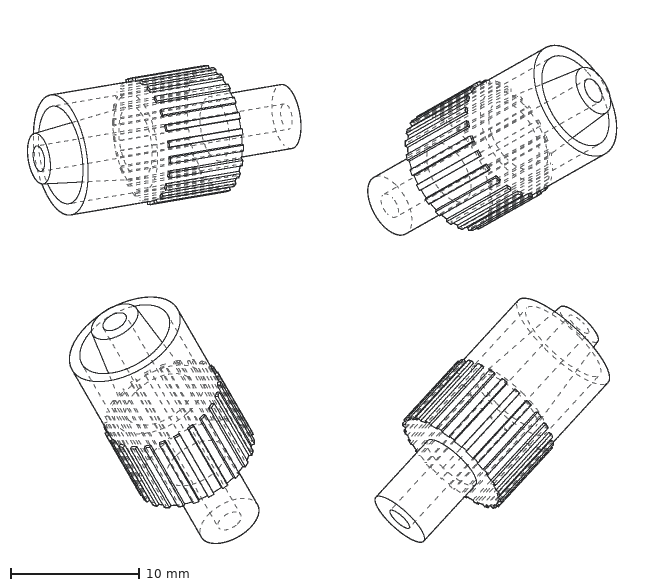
import cadquery as cq

total_length = 21.6
stem_length = 6.26
grip_length = 6.4
nose_protrusion = 1.9
nose_length = 8.42

stem_diameter = 5.07
body_diameter = 9.5
socket_diameter = 7.7
nose_tip_diameter = 4.0
nose_base_diameter = 5.79
passage_diameter = 2.0

rib_count = 24
rib_width = 0.5
rib_span = 10.0

nose_tip_y = -total_length / 2
body_front_y = nose_tip_y + nose_protrusion
socket_floor_y = nose_tip_y + nose_length
stem_end_y = total_length / 2
body_back_y = stem_end_y - stem_length
grip_front_y = body_back_y - grip_length


def make_turned_body():
    """Stem, socketed body and tapered nose with the through passage, revolved about Y."""
    profile = [
        (passage_diameter / 2, nose_tip_y),
        (nose_tip_diameter / 2, nose_tip_y),
        (nose_base_diameter / 2, socket_floor_y),
        (socket_diameter / 2, socket_floor_y),
        (socket_diameter / 2, body_front_y),
        (body_diameter / 2, body_front_y),
        (body_diameter / 2, body_back_y),
        (stem_diameter / 2, body_back_y),
        (stem_diameter / 2, stem_end_y),
        (passage_diameter / 2, stem_end_y),
    ]
    return cq.Workplane("XY").polyline(profile).close().revolve(360, (0, 0, 0), (0, 1, 0))


def make_grip_rib(angle):
    """One straight rib, rooted inside the body wall and turned by angle about Y."""
    root_radius = (socket_diameter + body_diameter) / 4
    outer_radius = rib_span / 2
    rib = cq.Workplane("XY").box(
        rib_width, grip_length, outer_radius - root_radius, centered=(True, False, False)
    )
    rib = rib.translate((0, grip_front_y, root_radius))
    return rib.rotate((0, 0, 0), (0, 1, 0), angle)


result = make_turned_body()
for rib_index in range(rib_count):
    result = result.union(make_grip_rib(rib_index * 360 / rib_count))